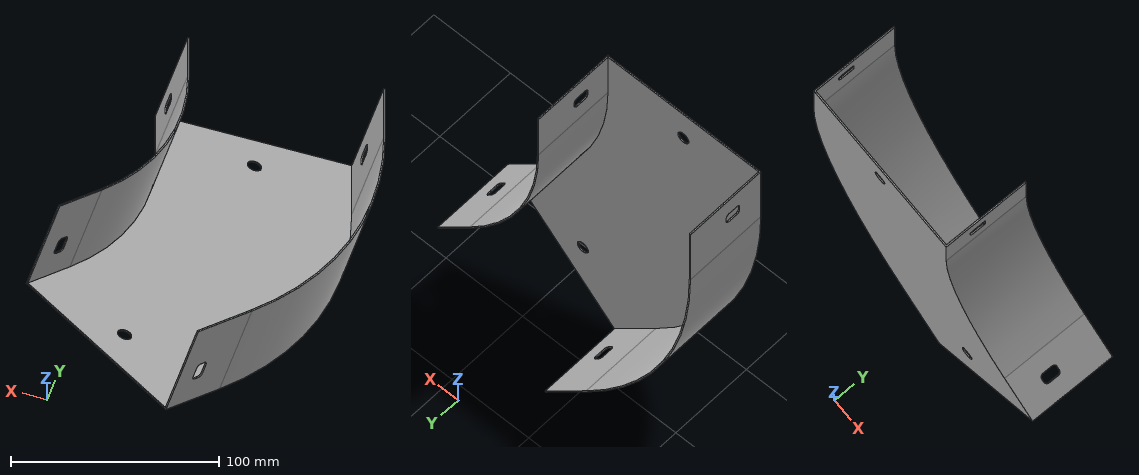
import cadquery as cq
import math

bend_angle = 45.0
length_z = 228.0
width = 99.9
depth = 50.0
sheet = 0.8
outer_radius = 230.0
inner_radius = 150.0
hole_diameter = 7.0
hole_from_end = 20.0
slot_length = 9.5
slot_width = 6.5
slot_corner_radius = 2.0
slot_from_end = 14.8
slot_from_base = 19.8

bend = math.radians(bend_angle)
half_tan = math.tan(bend / 2)
outer_straight = (length_z - outer_radius * math.sin(bend)) / (1 + math.sin(bend))
mitre_drop = outer_straight + outer_radius * half_tan
inner_straight = mitre_drop - (width + inner_radius) * half_tan

end_direction = (math.sin(bend), -math.cos(bend))


def wall_points(x, radius, straight):
    """Start, tangent, mid-arc, tangent and end points of a wall line, from the top end down."""

    def on_arc(angle):
        return (
            x + radius * (1 - math.cos(angle)),
            -straight - radius * math.sin(angle),
        )

    tangent = on_arc(bend)
    end = (
        tangent[0] + straight * end_direction[0],
        tangent[1] + straight * end_direction[1],
    )
    return (x, 0), on_arc(0), on_arc(bend / 2), tangent, end


def bend_prism(inset, y_start):
    """Bent strip narrowed by inset on both edges, from y_start to the wall rims."""
    outer = wall_points(inset, outer_radius - inset, outer_straight)
    inner = wall_points(width - inset, inner_radius + inset, inner_straight)
    return (
        cq.Workplane("XZ", origin=(0, y_start, 0))
        .moveTo(*outer[0])
        .lineTo(*outer[1])
        .threePointArc(outer[2], outer[3])
        .lineTo(*outer[4])
        .lineTo(*inner[4])
        .lineTo(*inner[3])
        .threePointArc(inner[2], inner[1])
        .lineTo(*inner[0])
        .close()
        .extrude(y_start - depth)
    )


def end_cutters():
    """Base hole and wall slots of the top end."""
    hole = (
        cq.Workplane("XZ")
        .center(width / 2, -hole_from_end)
        .circle(hole_diameter / 2)
        .extrude(-2 * sheet)
    )
    slots = (
        cq.Workplane("YZ", origin=(-sheet, 0, 0))
        .center(slot_from_base, -slot_from_end)
        .rect(slot_length, slot_width)
        .extrude(width + 2 * sheet)
        .edges("|X")
        .fillet(slot_corner_radius)
    )
    return hole.union(slots)


def at_lower_end(cutters):
    """Mirror the top-end cutters across the mitre plane onto the lower end."""
    mitre_normal = (-math.sin(bend / 2), 0, math.cos(bend / 2))
    mitre_point = (0, 0, -mitre_drop)
    return cutters.mirror(cq.Vector(*mitre_normal), mitre_point)


channel = bend_prism(0, 0).cut(bend_prism(sheet, sheet))
top_cutters = end_cutters()
result = channel.cut(top_cutters).cut(at_lower_end(top_cutters))